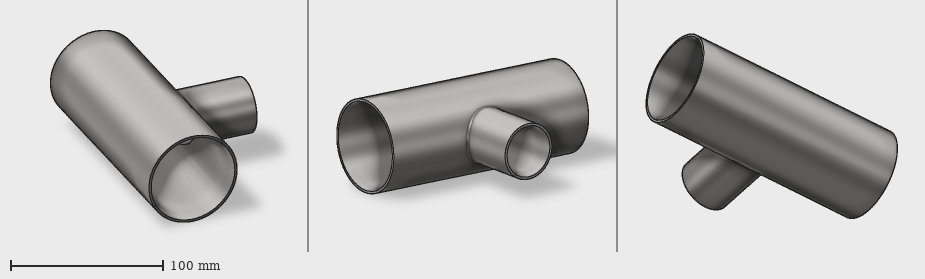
import cadquery as cq

run_length = 158.8
run_outer_diameter = 63.5
run_inner_diameter = 60.2
run_outer_radius = run_outer_diameter / 2

branch_outer_diameter = 38.1
branch_inner_diameter = 34.8
total_depth = 104.8
branch_reach = total_depth - run_outer_radius

blend_radius = 1.6


def run_cylinder(diameter):
    """Solid cylinder along X over the full run length."""
    return cq.Workplane("YZ").circle(diameter / 2).extrude(run_length / 2, both=True)


def branch_cylinder(diameter):
    """Solid cylinder along +Y from the run axis to the branch end."""
    return cq.Workplane("XZ").circle(diameter / 2).extrude(-branch_reach)


def tee(run_diameter, branch_diameter):
    """Run and branch cylinders joined into one solid."""
    return run_cylinder(run_diameter).union(branch_cylinder(branch_diameter))


def outer_body():
    """Outside of the tee, blended along the saddle-shaped junction."""
    junction = cq.selectors.BoxSelector(
        (-branch_outer_diameter, 0, -branch_outer_diameter),
        (branch_outer_diameter, run_outer_radius, branch_outer_diameter),
    )
    body = tee(run_outer_diameter, branch_outer_diameter)
    return body.edges(junction).fillet(blend_radius)


result = outer_body().cut(tee(run_inner_diameter, branch_inner_diameter))